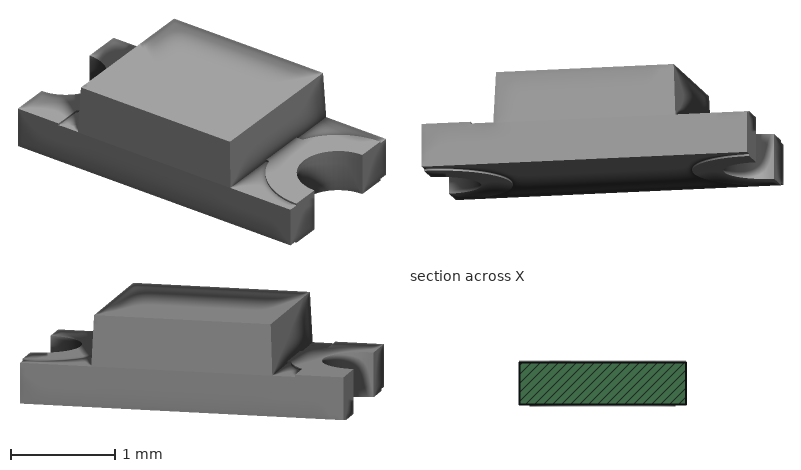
import cadquery as cq

board_length = 3.2
board_width = 1.6
board_thickness = 0.4

notch_radius = 0.4
pad_radius = 0.7
copper_thickness = 0.02

left_pad_depth = 0.48

trace_wide_side = 0.3
trace_narrow_side = 0.205

mark_thickness = 0.003
mark_tip_x = -1.088
mark_shoulder_x = -0.94
mark_back_y = -0.672

lens_length = 1.792
lens_above_copper = 0.48
lens_height = copper_thickness + lens_above_copper
lens_draft = 2.5

half_length = board_length / 2
half_width = board_width / 2
half_lens = lens_length / 2


def box(x_min, x_max, y_min, y_max, z_min, height):
    """Block between two X and two Y limits, rising from z_min."""
    block = cq.Workplane("XY").box(x_max - x_min, y_max - y_min, height, centered=False)
    return block.translate((x_min, y_min, z_min))


def end_disc(end, radius, z_min, height):
    """Upright cylinder centred on a board end: -1 is the left end, +1 the right."""
    return cq.Workplane("XY", origin=(end * half_length, 0, z_min)).circle(radius).extrude(height)


def board():
    return box(-half_length, half_length, -half_width, half_width, 0, board_thickness)


def end_pad(end, z_min):
    """Half-round copper pad around the notch of one board end."""
    board_area = box(-half_length, half_length, -half_width, half_width, z_min, copper_thickness)
    return end_disc(end, pad_radius, z_min, copper_thickness).intersect(board_area)


def top_copper(x_min, x_max, y_min, y_max):
    """Rectangle of copper on the top of the board."""
    return box(x_min, x_max, y_min, y_max, board_thickness, copper_thickness)


def polarity_mark():
    outline = [
        (mark_tip_x, -half_width),
        (-half_lens, -half_width),
        (-half_lens, mark_back_y),
        (mark_shoulder_x, mark_back_y),
    ]
    board_top = cq.Workplane("XY", origin=(0, 0, board_thickness))
    return board_top.polyline(outline).close().extrude(mark_thickness)


def lens():
    board_top = cq.Workplane("XY", origin=(0, 0, board_thickness))
    return board_top.rect(lens_length, board_width).extrude(lens_height, taper=lens_draft)


result = board()
for end in (-1, 1):
    for pad_base in (-copper_thickness, board_thickness):
        result = result.union(end_pad(end, pad_base))

left_pad_edge = left_pad_depth - half_length
trace_outer_x = half_length - left_pad_depth
result = result.union(top_copper(-half_length, left_pad_edge, -half_width, half_width))
result = result.union(top_copper(-trace_outer_x, -half_lens, -trace_wide_side, trace_narrow_side))
result = result.union(top_copper(half_lens, trace_outer_x, -trace_narrow_side, trace_wide_side))

result = result.union(polarity_mark())
result = result.union(lens())

for end in (-1, 1):
    notch_height = board_thickness + 2 * copper_thickness
    result = result.cut(end_disc(end, notch_radius, -copper_thickness, notch_height))